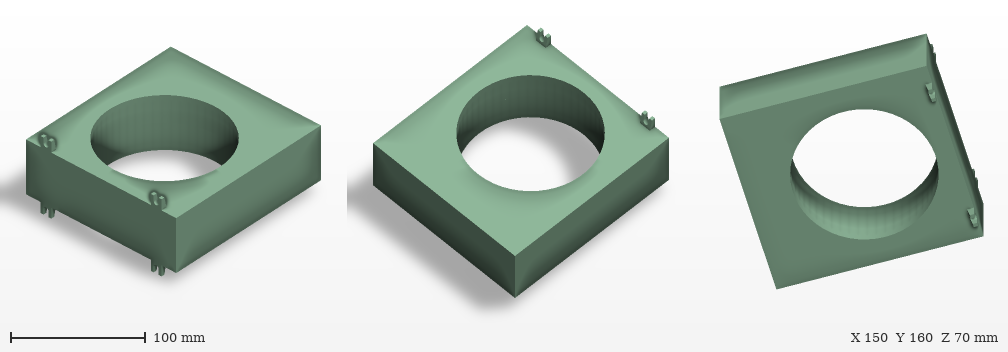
import cadquery as cq

housing_width = 150.0
housing_depth = 160.0
plate_thickness = 25.0
bore_diameter = 110.0
bore_center_y = 70.0

lug_spacing = 110.0
lug_width = 10.5
lug_height = 10.0
lug_base_depth = 5.5
lug_tip_depth = 3.2
slot_width = 5.0
slot_depth = 7.7


def make_plate(bottom_z):
    """Rectangular plate with a round bore through its thickness."""
    blank = cq.Workplane("XY").box(
        housing_width, housing_depth, plate_thickness, centered=(True, False, False)
    )
    bore = cq.Workplane("XY").center(0, bore_center_y).circle(bore_diameter / 2).extrude(plate_thickness)
    return blank.cut(bore).translate((0, 0, bottom_z))


def make_upper_lug(center_x):
    """Lug with a sloping back and a round-bottomed slot open at its tip."""
    wedge = (
        cq.Workplane("YZ")
        .polyline([(0, 0), (lug_base_depth, 0), (lug_tip_depth, lug_height), (0, lug_height)])
        .close()
        .extrude(lug_width / 2, both=True)
    )
    slot_radius = slot_width / 2
    slot_bottom_z = lug_height - slot_depth
    arc_center_z = slot_bottom_z + slot_radius
    slot = (
        cq.Workplane("XZ")
        .moveTo(-slot_radius, lug_height)
        .lineTo(-slot_radius, arc_center_z)
        .threePointArc((0, slot_bottom_z), (slot_radius, arc_center_z))
        .lineTo(slot_radius, lug_height)
        .close()
        .extrude(-lug_base_depth)
    )
    return wedge.cut(slot).translate((center_x, 0, plate_thickness))


lower_plate = make_plate(-plate_thickness)
upper_plate = make_plate(0)

lugs = []
for lug_x in (-lug_spacing / 2, lug_spacing / 2):
    upper_lug = make_upper_lug(lug_x)
    lower_lug = upper_lug.mirror("XY")
    lugs.extend([upper_lug.val(), lower_lug.val()])

result = cq.Compound.makeCompound([lower_plate.val(), upper_plate.val(), *lugs])